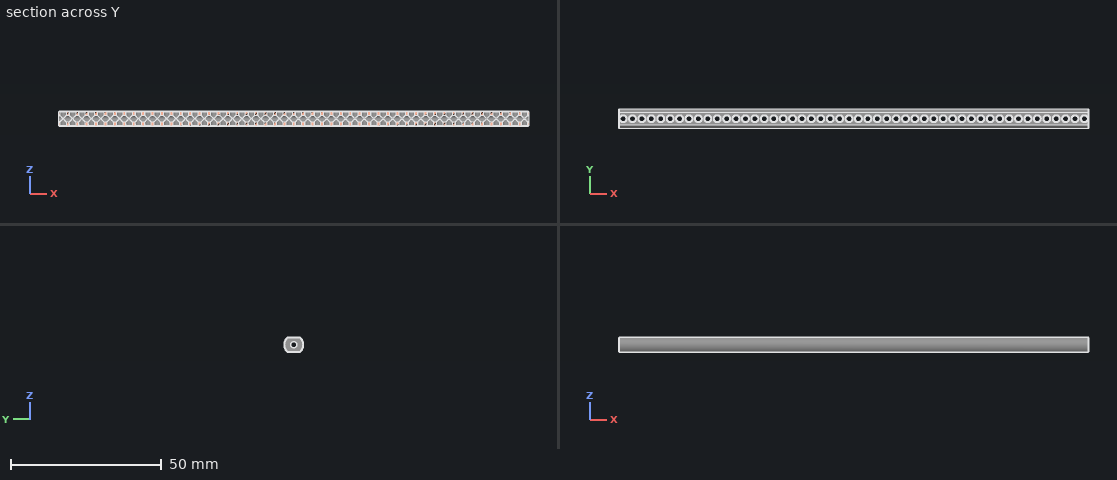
import cadquery as cq

BAR_DIAMETER = 6.6
FLAT_TO_FLAT = 5.0
END_CHAMFER = 0.3
HOLE_DIAMETER = 2.0
HOLE_CHAMFER = 0.3
HOLE_PITCH = 3.125
HOLE_COUNT = 50

BAR_LENGTH = HOLE_COUNT * HOLE_PITCH

HOLE_RADIUS = HOLE_DIAMETER / 2
MOUTH_RADIUS = HOLE_RADIUS + HOLE_CHAMFER
HALF_THICKNESS = FLAT_TO_FLAT / 2


def flatted_bar():
    """Round bar along X with flats on top and bottom and chamfered end faces."""
    round_bar = cq.Workplane("YZ").circle(BAR_DIAMETER / 2).extrude(BAR_LENGTH / 2, both=True)
    flat_limits = cq.Workplane("XY").box(BAR_LENGTH, BAR_DIAMETER, FLAT_TO_FLAT)
    return round_bar.intersect(flat_limits).faces("<X or >X").chamfer(END_CHAMFER)


def axial_bore():
    """Bore through the full length of the bar."""
    return cq.Workplane("YZ").circle(HOLE_RADIUS).extrude(BAR_LENGTH / 2, both=True)


def cross_hole_cutter():
    """Solid that cuts one hole through both flats, with a chamfer at each mouth."""
    half_profile = [
        (0, -HALF_THICKNESS),
        (MOUTH_RADIUS, -HALF_THICKNESS),
        (HOLE_RADIUS, -HALF_THICKNESS + HOLE_CHAMFER),
        (HOLE_RADIUS, HALF_THICKNESS - HOLE_CHAMFER),
        (MOUTH_RADIUS, HALF_THICKNESS),
        (0, HALF_THICKNESS),
    ]
    cutter = cq.Workplane("XZ").polyline(half_profile).close().revolve(360, (0, 0), (0, 1))
    return cutter.val()


def cross_holes():
    """Row of chamfered holes along the middle of the flats."""
    cutter = cross_hole_cutter()
    return (
        cq.Workplane("XY")
        .rarray(HOLE_PITCH, HOLE_PITCH, HOLE_COUNT, 1)
        .eachpoint(lambda place: cutter.moved(place), combine=False)
        .combine()
    )


result = flatted_bar().cut(axial_bore()).cut(cross_holes())